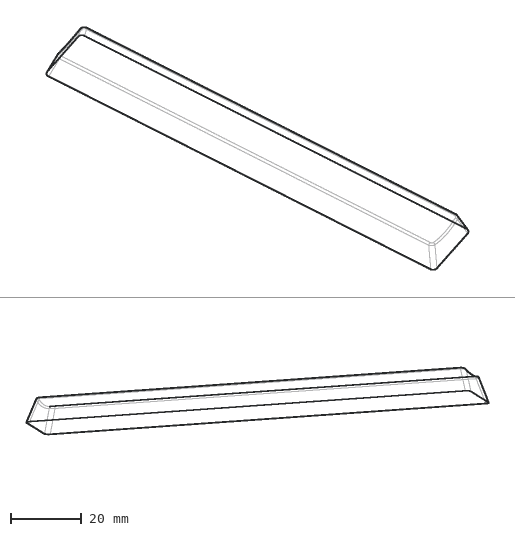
import cadquery as cq

length = 132.6
width = 18.3
wall_taper = 17.5
blank_height = 9.3

trough_floor_height = 6.6
trough_radius = 23.9

corner_radius = 1.3
rim_radius = 0.7


def tapered_block():
    """Block whose four walls lean inward, with rounded corners between them."""
    block = cq.Workplane("XY").rect(length, width).extrude(blank_height, taper=wall_taper)
    slanted_corners = block.edges("not(#Z or |X or |Y)")
    return slanted_corners.fillet(corner_radius)


def trough_cutter():
    """Cylinder along X whose lowest line lies at the trough floor height."""
    axis_height = trough_floor_height + trough_radius
    profile = cq.Workplane("YZ").center(0, axis_height).circle(trough_radius)
    return profile.extrude(length / 2, both=True)


dished_block = tapered_block().cut(trough_cutter())

long_rim_edges = dished_block.edges("|X").edges(">Z")
result = long_rim_edges.fillet(rim_radius)